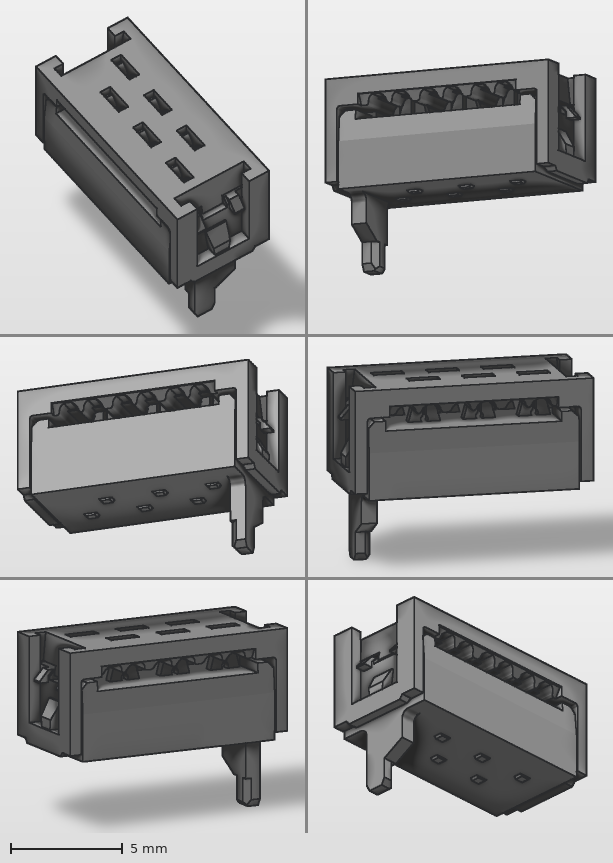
import cadquery as cq
import math

LENGTH = 11.0
WIDTH = 5.0
COVER_TOP = 5.05
OVERLAP = 0.11

CONTACT_COUNT = 6
CONTACT_SPAN = 6.35
CONTACT_PITCH = CONTACT_SPAN / (CONTACT_COUNT - 1)
ROW_SPACING = 1.48
CONTACT_THICKNESS = 0.4
FOOT_HALF = 0.74
NECK_HALF = 0.5
NECK_Z = 4.02
TIP_HALF = 0.66
TIP_SHOULDER_Z = 4.56
PEAK_HALF = 0.45
PEAK_Z = 4.82
TIP_OUTER_ARC_MID = (0.59, 4.75)
LEAD_IN_ARC_MID = (0.24, 4.64)
SLIT_HALF = 0.085
SLIT_TOP_Z = 4.36
EYE_DIAMETER = 0.34
EYE_Z = 3.25
TAIL_TOP_HALF = 0.31
TAIL_BOTTOM_HALF = 0.21
TAIL_DROP = 0.1

BASE_HALF = 4.85
BASE_DECK_Z = 3.14
TOWER_TOP = 3.58
TOWER_INNER = 4.06
TOWER_CHAMFER = 0.28
TOWER_GAP = 1.33
SLOPE_START_Z = 2.18
SLOPE_INSET = 0.12

LEG_INNER = 4.93
LEG_BOTTOM = 0.13
LEG_CORNER_Z = 0.34
LEG_FOOT_HALF = 1.6
LEG_FOOT_CHAMFER_X = 0.11
LEG_FOOT_CHAMFER_Y = 0.16
SHOULDER_Z = 3.78
SHOULDER_FILLET = 0.16
CABLE_HALF = 3.89
CABLE_TOP = 4.27
WINDOW_WIDTH = 2.83
WINDOW_SILL = 1.1
END_SLOT_TOP_INNER = 4.4
END_SLOT_BOTTOM_INNER = 4.61
END_SLOT_TOP_WIDTH = 3.78
END_SLOT_BOTTOM_WIDTH = 3.44
TAB_WIDTH = 1.11
TAB_BOTTOM = 3.34
CONTACT_SLOT_LENGTH = 1.42
CONTACT_SLOT_WIDTH = 0.53

RIB_OUTER_TOP = 2.4
RIB_OUTER_BOTTOM = 2.13
FRONT_GROOVE_SHIFT = -0.11
GROOVE_TOP = 4.16
GROOVE_TOP_HALF = 0.29
GROOVE_MOUTH_HALF = 0.57
GROOVE_BEND = (0.44, 3.94)
GROOVE_FOOT_ARC_MID = (0.48, 3.84)
GROOVE_CROWN_ARC_MID = (0.38, 4.06)
GROOVE_CREST_TOP = 4.22
GROOVE_CREST_HALF = 0.19
GROOVE_CREST_INNER = 1.54

TOOTH_REACH = 5.3
TOOTH_LIP_Z = 3.07
TOOTH_BOTTOM = 3.0
TOOTH_WIDTH = 0.52
TOOTH_OFFSET = 1.05
LATCH_REACH = 5.4
LATCH_LEDGE = 4.94
LATCH_TOP = 2.35
LATCH_LIP_Z = 1.57
LATCH_TOP_HALF = 0.56
LATCH_BOTTOM_HALF = 0.38

PIN_THICKNESS = 0.73
PIN_HALF = 1.11
PIN_FILLET = 0.4
PIN_BACK_Z = -1.36
PIN_NECK_Z = -1.99
PIN_TIP_Z = -3.3
PIN_EDGE_CHAMFER = 0.28
PIN_TIP_CHAMFER_X = 0.21
PIN_TIP_CHAMFER_Y = 0.18
PIN_TIP_CHAMFER_Z = 0.33

HALF_LENGTH = LENGTH / 2
HALF_WIDTH = WIDTH / 2


def block(x0, x1, y0, y1, z0, z1):
    return cq.Workplane("XY").box(x1 - x0, y1 - y0, z1 - z0, centered=False).translate((x0, y0, z0))


def along_y(outline, y0, y1):
    """Extrude a closed XZ outline from y0 to y1."""
    return outline.extrude(y0 - y1).translate((0, y0, 0))


def along_x(outline, x0, x1):
    """Extrude a closed YZ outline from x0 to x1."""
    return outline.extrude(x1 - x0).translate((x0, 0, 0))


def xz_polygon(points):
    return cq.Workplane("XZ").polyline(points).close()


def yz_polygon(points):
    return cq.Workplane("YZ").polyline(points).close()


def mirrored(points):
    """Complete a right-hand half outline with its mirror image."""
    return points + [(-u, v) for u, v in reversed(points)]


def both_ends(part):
    """Join a part with its mirror image across the plane X = 0."""
    return part.union(part.mirror("YZ"))


def contact_places():
    """Centre (x, y) of each contact, starting in the +Y row at the -X end."""
    first_x = -CONTACT_SPAN / 2
    places = []
    for i in range(CONTACT_COUNT):
        row_y = ROW_SPACING / 2 if i % 2 == 0 else -ROW_SPACING / 2
        places.append((first_x + i * CONTACT_PITCH, row_y))
    return places


def base_body():
    side = mirrored([
        (HALF_WIDTH, 0),
        (HALF_WIDTH, SLOPE_START_Z),
        (HALF_WIDTH - SLOPE_INSET, TOWER_TOP),
    ])
    front = mirrored([
        (BASE_HALF, 0),
        (BASE_HALF, TOWER_TOP - TOWER_CHAMFER),
        (BASE_HALF - TOWER_CHAMFER, TOWER_TOP),
        (TOWER_INNER, TOWER_TOP),
        (TOWER_INNER, BASE_DECK_Z),
    ])
    body = along_x(yz_polygon(side), -BASE_HALF, BASE_HALF)
    body = body.intersect(along_y(xz_polygon(front), -HALF_WIDTH, HALF_WIDTH))
    gap = block(-BASE_HALF, BASE_HALF, -TOWER_GAP / 2, TOWER_GAP / 2, BASE_DECK_Z, TOWER_TOP)
    return body.cut(gap)


def tooth(y_center):
    outline = [
        (BASE_HALF - TOWER_CHAMFER, TOWER_TOP),
        (BASE_HALF, TOWER_TOP),
        (TOOTH_REACH, TOOTH_LIP_Z),
        (TOOTH_REACH, TOOTH_BOTTOM),
        (BASE_HALF - TOWER_CHAMFER, TOOTH_BOTTOM),
    ]
    return along_y(xz_polygon(outline), y_center - TOOTH_WIDTH / 2, y_center + TOOTH_WIDTH / 2)


def latch():
    """Wedge that rests on the window sill and ties the cover to the base."""
    outline = [
        (BASE_HALF - OVERLAP, LATCH_TOP),
        (LATCH_LEDGE, LATCH_TOP),
        (LATCH_REACH, LATCH_LIP_Z),
        (LATCH_REACH, WINDOW_SILL),
        (BASE_HALF - OVERLAP, WINDOW_SILL),
    ]
    face = mirrored([(LATCH_BOTTOM_HALF, WINDOW_SILL), (LATCH_TOP_HALF, LATCH_TOP)])
    wedge = along_y(xz_polygon(outline), -LATCH_TOP_HALF, LATCH_TOP_HALF)
    return wedge.intersect(along_x(yz_polygon(face), 0, HALF_LENGTH))


def contact():
    """Forked blade with a round eye below its slit and a tail under the base."""
    root_z = BASE_DECK_Z - OVERLAP
    arm = (
        cq.Workplane("XZ")
        .moveTo(0, root_z)
        .lineTo(FOOT_HALF, root_z)
        .lineTo(FOOT_HALF, BASE_DECK_Z)
        .lineTo(NECK_HALF, NECK_Z)
        .lineTo(TIP_HALF, TIP_SHOULDER_Z)
        .threePointArc(TIP_OUTER_ARC_MID, (PEAK_HALF, PEAK_Z))
        .threePointArc(LEAD_IN_ARC_MID, (SLIT_HALF, SLIT_TOP_Z))
        .lineTo(SLIT_HALF, EYE_Z)
        .lineTo(0, EYE_Z)
        .close()
    )
    half_thickness = CONTACT_THICKNESS / 2
    blade = both_ends(along_y(arm, -half_thickness, half_thickness))
    eye = cq.Workplane("XZ").center(0, EYE_Z).circle(EYE_DIAMETER / 2)
    blade = blade.cut(along_y(eye, -half_thickness, half_thickness))
    tail = mirrored([
        (TAIL_BOTTOM_HALF, -TAIL_DROP),
        (TAIL_TOP_HALF, 0),
        (TAIL_TOP_HALF, OVERLAP),
    ])
    return blade.union(along_y(xz_polygon(tail), -half_thickness, half_thickness))


def pin():
    outer_x = BASE_HALF
    inner_x = outer_x - PIN_THICKNESS
    foot_half = PIN_HALF + PIN_FILLET
    tip_start = PIN_TIP_Z + PIN_TIP_CHAMFER_Z
    arc_mid = PIN_FILLET * (1 - math.cos(math.pi / 4))
    outline = (
        cq.Workplane("YZ")
        .moveTo(-foot_half, OVERLAP)
        .lineTo(-foot_half, 0)
        .threePointArc((-PIN_HALF - arc_mid, -arc_mid), (-PIN_HALF, -PIN_FILLET))
        .lineTo(-PIN_HALF, tip_start)
        .lineTo(-PIN_HALF + PIN_TIP_CHAMFER_Y, PIN_TIP_Z)
        .lineTo(-PIN_TIP_CHAMFER_Y, PIN_TIP_Z)
        .lineTo(0, tip_start)
        .lineTo(0, PIN_NECK_Z)
        .lineTo(PIN_HALF, PIN_BACK_Z)
        .lineTo(PIN_HALF, -PIN_FILLET)
        .threePointArc((PIN_HALF + arc_mid, -arc_mid), (foot_half, 0))
        .lineTo(foot_half, OVERLAP)
        .close()
    )
    body = along_x(outline, inner_x, outer_x)
    for edge_y, inward in ((-PIN_HALF, 1), (0, -1)):
        corner = (
            cq.Workplane("XY", origin=(0, 0, PIN_TIP_Z))
            .moveTo(inner_x, edge_y)
            .lineTo(inner_x + PIN_EDGE_CHAMFER, edge_y)
            .lineTo(inner_x, edge_y + inward * PIN_EDGE_CHAMFER)
            .close()
            .extrude(PIN_NECK_Z - PIN_TIP_Z)
        )
        body = body.cut(corner)
    tip_corner = [
        (inner_x, PIN_TIP_Z),
        (inner_x + PIN_TIP_CHAMFER_X, PIN_TIP_Z),
        (inner_x, PIN_TIP_Z + PIN_TIP_CHAMFER_X),
    ]
    return body.cut(along_y(xz_polygon(tip_corner), -PIN_HALF, PIN_HALF))


def cover_shell():
    """Bridge with two legs, hollowed for the base and its end towers."""
    end_outline = mirrored([
        (LEG_FOOT_HALF, LEG_BOTTOM),
        (LEG_FOOT_HALF + LEG_FOOT_CHAMFER_Y, LEG_CORNER_Z),
        (HALF_WIDTH, LEG_CORNER_Z),
        (HALF_WIDTH, COVER_TOP),
    ])
    shell = along_x(yz_polygon(end_outline), -HALF_LENGTH, HALF_LENGTH)
    cavity = block(-LEG_INNER, LEG_INNER, -HALF_WIDTH, HALF_WIDTH, 0, SHOULDER_Z)
    cavity = cavity.edges("|Y and >Z").fillet(SHOULDER_FILLET)
    foot_chamfer = [
        (LEG_INNER, LEG_BOTTOM),
        (LEG_INNER + LEG_FOOT_CHAMFER_X, LEG_BOTTOM),
        (LEG_INNER, LEG_CORNER_Z),
    ]
    foot_cut = both_ends(along_y(xz_polygon(foot_chamfer), -HALF_WIDTH, HALF_WIDTH))
    return shell.cut(cavity).cut(foot_cut)


def end_slot():
    """Tapered slot behind the leg window, from the top face down to the shoulder."""
    side = [
        (LEG_INNER, COVER_TOP),
        (END_SLOT_TOP_INNER, COVER_TOP),
        (END_SLOT_BOTTOM_INNER, SHOULDER_Z),
        (LEG_INNER, SHOULDER_Z),
    ]
    face = mirrored([(END_SLOT_BOTTOM_WIDTH / 2, SHOULDER_Z), (END_SLOT_TOP_WIDTH / 2, COVER_TOP)])
    lower = block(
        END_SLOT_BOTTOM_INNER, LEG_INNER,
        -END_SLOT_BOTTOM_WIDTH / 2, END_SLOT_BOTTOM_WIDTH / 2,
        SHOULDER_Z - SHOULDER_FILLET, SHOULDER_Z,
    )
    slot = along_y(xz_polygon(side), -HALF_WIDTH, HALF_WIDTH)
    return slot.intersect(along_x(yz_polygon(face), 0, HALF_LENGTH)).union(lower)


def leg_window():
    return block(LEG_INNER, HALF_LENGTH, -WINDOW_WIDTH / 2, WINDOW_WIDTH / 2, WINDOW_SILL, COVER_TOP)


def end_tab():
    """Tongue below the shoulder; its outer face carries on the slope of the slot."""
    slope = (END_SLOT_BOTTOM_INNER - END_SLOT_TOP_INNER) / (COVER_TOP - SHOULDER_Z)
    outline = [
        (CABLE_HALF, SHOULDER_Z),
        (END_SLOT_BOTTOM_INNER, SHOULDER_Z),
        (END_SLOT_BOTTOM_INNER + slope * (SHOULDER_Z - TAB_BOTTOM), TAB_BOTTOM),
        (CABLE_HALF, TAB_BOTTOM),
    ]
    return along_y(xz_polygon(outline), -TAB_WIDTH / 2, TAB_WIDTH / 2)


def clamping_rib():
    outline = mirrored([(RIB_OUTER_BOTTOM, SHOULDER_Z), (RIB_OUTER_TOP, CABLE_TOP)])
    return along_x(yz_polygon(outline), -CABLE_HALF, CABLE_HALF)


def wire_groove():
    """Bell-shaped groove across the rib, with a raised crest at both mouths."""
    half_bell = (
        cq.Workplane("XZ")
        .moveTo(0, SHOULDER_Z)
        .lineTo(GROOVE_MOUTH_HALF, SHOULDER_Z)
        .threePointArc(GROOVE_FOOT_ARC_MID, GROOVE_BEND)
        .threePointArc(GROOVE_CROWN_ARC_MID, (GROOVE_TOP_HALF, GROOVE_TOP))
        .lineTo(0, GROOVE_TOP)
        .close()
    )
    groove = both_ends(along_y(half_bell, -HALF_WIDTH, HALF_WIDTH))
    crest = mirrored([(GROOVE_TOP_HALF, GROOVE_TOP), (GROOVE_CREST_HALF, GROOVE_CREST_TOP)])
    for y0, y1 in ((-HALF_WIDTH, -GROOVE_CREST_INNER), (GROOVE_CREST_INNER, HALF_WIDTH)):
        groove = groove.union(along_y(xz_polygon(crest), y0, y1))
    return groove


def cover():
    body = cover_shell().cut(both_ends(end_slot())).cut(both_ends(leg_window()))
    body = body.cut(block(-CABLE_HALF, CABLE_HALF, -HALF_WIDTH, HALF_WIDTH, SHOULDER_Z, CABLE_TOP))
    rib = clamping_rib()
    groove = wire_groove()
    for x, y in contact_places():
        groove_x = x if y > 0 else x + FRONT_GROOVE_SHIFT
        rib = rib.cut(groove.translate((groove_x, 0, 0)))
    body = body.union(rib).union(both_ends(end_tab()))
    for x, y in contact_places():
        half_length = CONTACT_SLOT_LENGTH / 2
        half_width = CONTACT_SLOT_WIDTH / 2
        body = body.cut(block(x - half_length, x + half_length, y - half_width, y + half_width,
                              SHOULDER_Z, COVER_TOP))
    return body


result = base_body()
for tooth_y in (-TOOTH_OFFSET, TOOTH_OFFSET):
    result = result.union(both_ends(tooth(tooth_y)))
result = result.union(both_ends(latch())).union(pin())
single_contact = contact()
for contact_x, contact_y in contact_places():
    result = result.union(single_contact.translate((contact_x, contact_y, 0)))
result = result.union(cover()).clean()